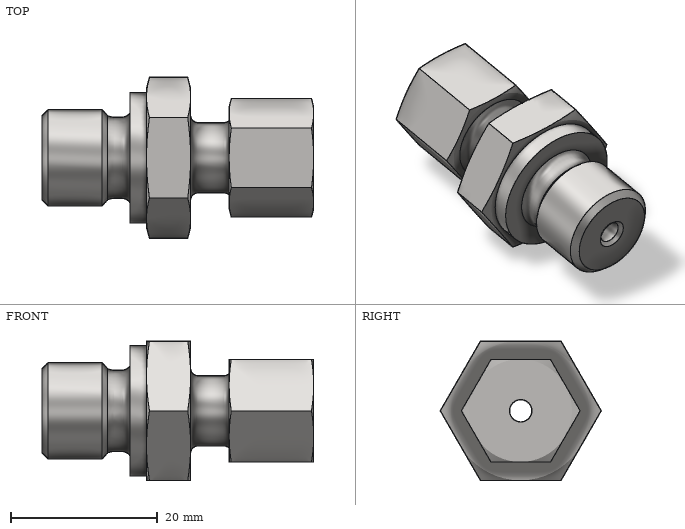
import cadquery as cq
import math


stud_length = 12.0
collar_end = 14.25
body_hex_end = 20.25
nut_start = 25.5
total_length = 37.0

thread_radius = 13.16 / 2
stud_chamfer = 0.86
relief_radius = 11.09 / 2
relief_taper_start = 8.2
relief_taper_end = 8.97
relief_flat_start = 9.86
relief_flat_end = 10.88
taper_side_fillet = 2.2
collar_side_fillet = 1.4

collar_radius = 17.8 / 2
body_hex_width = 19.0
nut_hex_width = 14.0
hex_chamfer_angle = math.radians(15)
neck_radius = 9.6 / 2
neck_fillet = 1.0
neck_flat_end = 24.8
shoulder_angle = math.radians(45)
nut_recess_radius = 6.0

bore_radius = 3.0 / 2
bore_mouth_radius = 4.0 / 2


def fillet_point(flat_x, flat_radius, fillet, angle, direction):
    """Point on a fillet leaving a cylinder at flat_x, after turning outward by angle."""
    x = flat_x + direction * fillet * math.sin(angle)
    radius = flat_radius + fillet * (1 - math.cos(angle))
    return (x, radius)


def revolve_about_axis(profile):
    """Solid of revolution about the X axis from an open profile in the XY plane."""
    return profile.close().revolve(360, (0, 0, 0), (1, 0, 0))


def make_stud():
    """Chamfered stud, relief groove and sealing collar."""

    def taper_side_point(angle):
        return fillet_point(relief_flat_start, relief_radius, taper_side_fillet, angle, -1)

    def collar_side_point(angle):
        return fillet_point(relief_flat_end, relief_radius, collar_side_fillet, angle, 1)

    taper_side_angle = math.asin((relief_flat_start - relief_taper_end) / taper_side_fillet)
    collar_side_angle = math.asin((stud_length - relief_flat_end) / collar_side_fillet)
    taper_end = taper_side_point(taper_side_angle)

    profile = (
        cq.Workplane("XY")
        .lineTo(0, thread_radius - stud_chamfer)
        .lineTo(stud_chamfer, thread_radius)
        .lineTo(relief_taper_start, thread_radius)
        .lineTo(*taper_end)
        .threePointArc(
            taper_side_point(taper_side_angle / 2),
            (relief_flat_start, relief_radius),
        )
        .lineTo(relief_flat_end, relief_radius)
        .threePointArc(
            collar_side_point(collar_side_angle / 2),
            collar_side_point(collar_side_angle),
        )
        .lineTo(stud_length, collar_radius)
        .lineTo(collar_end, collar_radius)
        .lineTo(collar_end, 0)
    )
    return revolve_about_axis(profile)


def flare_point(flat_x, angle, direction):
    """Point on a fillet flaring out from the neck."""
    return fillet_point(flat_x, neck_radius, neck_fillet, angle, direction)


shoulder_start = flare_point(neck_flat_end, shoulder_angle, 1)
shoulder_length = (nut_recess_radius - shoulder_start[1]) / math.tan(shoulder_angle)
shoulder_end_x = shoulder_start[0] + shoulder_length


def make_neck():
    """Round neck flaring into the body hexagon and into a conical shoulder in the nut."""
    flat_start = body_hex_end + neck_fillet
    quarter_turn = math.pi / 2

    profile = (
        cq.Workplane("XY")
        .moveTo(body_hex_end, 0)
        .lineTo(body_hex_end, neck_radius + neck_fillet)
        .threePointArc(
            flare_point(flat_start, quarter_turn / 2, -1),
            (flat_start, neck_radius),
        )
        .lineTo(neck_flat_end, neck_radius)
        .threePointArc(
            flare_point(neck_flat_end, shoulder_angle / 2, 1),
            shoulder_start,
        )
        .lineTo(shoulder_end_x, nut_recess_radius)
        .lineTo(shoulder_end_x, 0)
    )
    return revolve_about_axis(profile)


def make_hexagon(start, end, width):
    """Hexagon with flats facing +-Z and corners turned down by a cone at both ends."""
    sides = 6
    flat_radius = width / 2
    corner_radius = flat_radius / math.cos(math.pi / sides)
    corner_setback = (corner_radius - flat_radius) * math.tan(hex_chamfer_angle)

    prism = (
        cq.Workplane("YZ", origin=(start, 0, 0))
        .polygon(sides, 2 * corner_radius)
        .extrude(end - start)
    )
    envelope = revolve_about_axis(
        cq.Workplane("XY")
        .moveTo(start, 0)
        .lineTo(start, flat_radius)
        .lineTo(start + corner_setback, corner_radius)
        .lineTo(end - corner_setback, corner_radius)
        .lineTo(end, flat_radius)
        .lineTo(end, 0)
    )
    return prism.intersect(envelope)


def make_nut():
    """Hexagon nut with a recess in its inner face that takes the conical shoulder."""
    recess = (
        cq.Workplane("YZ", origin=(nut_start, 0, 0))
        .circle(nut_recess_radius)
        .extrude(shoulder_end_x - nut_start)
    )
    return make_hexagon(nut_start, total_length, nut_hex_width).cut(recess)


def make_bore():
    """Through bore with a 45 degree countersink at the stud end."""
    countersink_depth = bore_mouth_radius - bore_radius
    return revolve_about_axis(
        cq.Workplane("XY")
        .lineTo(0, bore_mouth_radius)
        .lineTo(countersink_depth, bore_radius)
        .lineTo(total_length, bore_radius)
        .lineTo(total_length, 0)
    )


body_hex = make_hexagon(collar_end, body_hex_end, body_hex_width)

result = make_stud().union(body_hex).union(make_neck()).union(make_nut()).cut(make_bore())